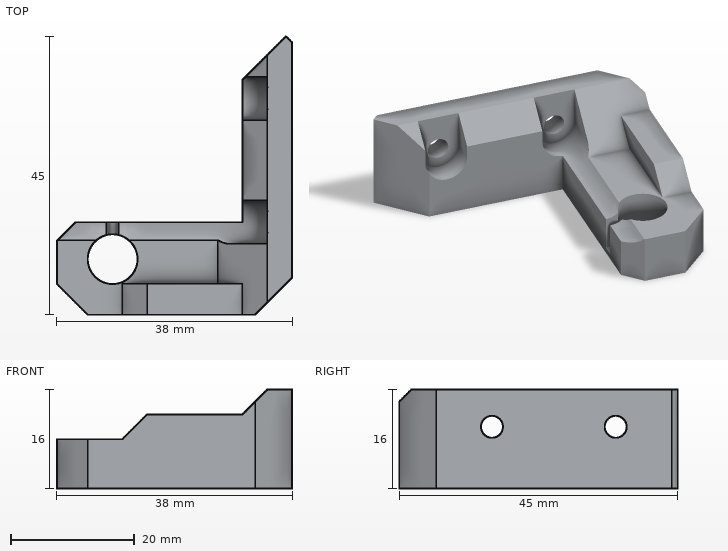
import cadquery as cq

length_x = 38.0
length_y = 45.0
height = 16.0

arm_width = 15.0
wall_thickness = 8.0
front_left_chamfer = 5.0
rear_left_chamfer = 3.0
front_right_chamfer = 6.0
wall_tip_chamfer = 1.0

arm_height = 8.0
rib_height = 12.0
rib_width = 5.0
rib_ramp_start = 10.58
wall_top_width = 4.0

bore_diameter = 8.0
bore_x = 9.0
bore_y = 9.0
slot_width = 2.0
slot_floor = 1.0

screw_diameter = 3.5
screw_seat_width = 7.0
screw_z = 10.0
first_screw_y = 15.0
screw_spacing = 20.0

wall_inner_x = length_x - wall_thickness
seat_x = length_x - wall_top_width
slope_foot_x = seat_x - (height - arm_height)


def outline_prism():
    """Full-height L with all its corner chamfers."""
    tip_x = length_x - wall_tip_chamfer
    wall_end_y = length_y - (tip_x - wall_inner_x)
    return (
        cq.Workplane("XY")
        .moveTo(front_left_chamfer, 0)
        .lineTo(length_x - front_right_chamfer, 0)
        .lineTo(length_x, front_right_chamfer)
        .lineTo(length_x, length_y - wall_tip_chamfer)
        .lineTo(tip_x, length_y)
        .lineTo(wall_inner_x, wall_end_y)
        .lineTo(wall_inner_x, arm_width)
        .lineTo(rear_left_chamfer, arm_width)
        .lineTo(0, arm_width - rear_left_chamfer)
        .lineTo(0, front_left_chamfer)
        .close()
        .extrude(height)
    )


def side_profile(points, depth):
    """Extrude an XZ profile from the front face toward +Y."""
    return cq.Workplane("XZ").polyline(points).close().extrude(-depth)


def height_envelope():
    """Low arm, sloped wall and raised front rib."""
    arm_and_wall = side_profile(
        [
            (0, 0),
            (length_x, 0),
            (length_x, height),
            (seat_x, height),
            (slope_foot_x, arm_height),
            (0, arm_height),
        ],
        length_y,
    )
    rib_ramp_end = rib_ramp_start + rib_height - arm_height
    rib = side_profile(
        [
            (rib_ramp_start, 0),
            (seat_x, 0),
            (seat_x, rib_height),
            (rib_ramp_end, rib_height),
            (rib_ramp_start, arm_height),
        ],
        rib_width,
    )
    return arm_and_wall.union(rib)


def screw_cut(y):
    """Screw hole with a round-bottomed seat open to -X and upward."""
    hole = cq.Workplane("YZ").center(y, screw_z).circle(screw_diameter / 2).extrude(length_x)
    seat_round = cq.Workplane("YZ").center(y, screw_z).circle(screw_seat_width / 2).extrude(seat_x)
    seat_opening = cq.Workplane("XY").box(
        seat_x, screw_seat_width, height - screw_z, centered=(False, True, False)
    ).translate((0, y, screw_z))
    return hole.union(seat_round).union(seat_opening)


def bore_cut():
    """Through bore with a blind-floored slot running to the rear of the arm."""
    bore = cq.Workplane("XY").center(bore_x, bore_y).circle(bore_diameter / 2).extrude(height)
    slot = cq.Workplane("XY").box(
        slot_width, arm_width - bore_y, height - slot_floor, centered=(True, False, False)
    ).translate((bore_x, bore_y, slot_floor))
    return bore.union(slot)


result = outline_prism().intersect(height_envelope())
for screw_index in range(2):
    result = result.cut(screw_cut(first_screw_y + screw_index * screw_spacing))
result = result.cut(bore_cut())